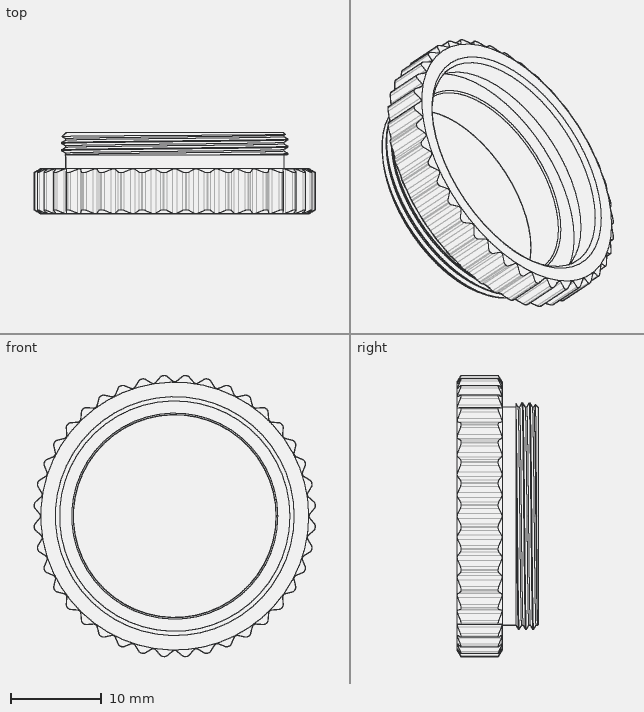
import cadquery as cq
import math

total_length = 9.0
ring_length = 5.0
neck_radius = 12.05
bore_radius = 11.17
bore_chamfer = 0.19

tooth_count = 40
tip_radius = 15.55
tip_flat_half_width = 0.06
tip_fillet_radius = 0.45
tip_fillet_angle = math.radians(42)
valley_radius = 14.82
valley_edge_radius = 14.93
valley_half_width = 0.27
ring_face_radius = 14.77
ring_chamfer_length = 0.45

pitch = 25.4 / 32
half_flank_angle = math.radians(30)
thread_tip_width = pitch / 8
foot_overlap = 0.05

external_thread_start = 6.5
external_thread_height = 0.45
external_crest_position = 6.62
end_face_radius = 11.95
end_chamfer_length = 0.5

socket_depth = 4.5
relief_start = 2.7
relief_radius = 13.43
socket_radius = 13.17
internal_thread_height = 0.42
internal_crest_position = 0.05

tooth_angle = 2 * math.pi / tooth_count


def revolved(points):
    """Revolve a (radius, height) outline about the Z axis."""
    return cq.Workplane("XZ").polyline(points).close().revolve(360, (0, 0, 0), (0, 1, 0))


def turned(distance, offset, angle):
    """Point at a distance along the direction given by angle and an offset square to it."""
    return (
        distance * math.cos(angle) - offset * math.sin(angle),
        distance * math.sin(angle) + offset * math.cos(angle),
    )


def tip_fillet_point(angle, side):
    """(distance, offset) on a tip fillet, swept by angle from the tip flat towards one side."""
    distance = tip_radius - tip_fillet_radius * (1 - math.cos(angle))
    offset = tip_flat_half_width + tip_fillet_radius * math.sin(angle)
    return (distance, side * offset)


def knurled_ring():
    """Ring of rounded teeth with both outer edges chamfered; a valley lies on the X axis."""
    fillet_middle = tip_fillet_angle / 2
    outline = cq.Workplane("XY").moveTo(*turned(valley_edge_radius, -valley_half_width, 0))
    for tooth in range(tooth_count):
        valley = tooth * tooth_angle
        tip = valley + tooth_angle / 2
        outline = (
            outline
            .threePointArc(
                turned(valley_radius, 0, valley),
                turned(valley_edge_radius, valley_half_width, valley),
            )
            .lineTo(*turned(*tip_fillet_point(tip_fillet_angle, -1), tip))
            .threePointArc(
                turned(*tip_fillet_point(fillet_middle, -1), tip),
                turned(*tip_fillet_point(0, -1), tip),
            )
            .lineTo(*turned(*tip_fillet_point(0, 1), tip))
            .threePointArc(
                turned(*tip_fillet_point(fillet_middle, 1), tip),
                turned(*tip_fillet_point(tip_fillet_angle, 1), tip),
            )
        )
        if tooth < tooth_count - 1:
            outline = outline.lineTo(*turned(valley_edge_radius, -valley_half_width, valley + tooth_angle))
    teeth = outline.close().extrude(ring_length)
    clear_radius = tip_radius + tip_fillet_radius
    chamfer_slope = ring_chamfer_length / (tip_radius - ring_face_radius)
    clear_length = chamfer_slope * (clear_radius - ring_face_radius)
    envelope = revolved([
        (0, 0),
        (ring_face_radius, 0),
        (clear_radius, clear_length),
        (clear_radius, ring_length - clear_length),
        (ring_face_radius, ring_length),
        (0, ring_length),
    ])
    return teeth.intersect(envelope)


def helical_thread(surface_radius, height, start, turns):
    """Right-hand V thread on a cylinder, its foot sunk slightly into the surface.

    A positive height stands outward from the cylinder, a negative one inward.
    """
    side = math.copysign(1, height)
    tip_half = thread_tip_width / 2
    foot_half = tip_half + (abs(height) + foot_overlap) * math.tan(half_flank_angle)
    foot_radius = surface_radius - side * foot_overlap
    crest_radius = surface_radius + height
    path = cq.Wire.makeHelix(pitch, turns * pitch, surface_radius, center=cq.Vector(0, 0, start))
    profile = cq.Workplane("XZ").polyline([
        (foot_radius, start - foot_half),
        (crest_radius, start - tip_half),
        (crest_radius, start + tip_half),
        (foot_radius, start + foot_half),
    ]).close()
    return profile.sweep(cq.Workplane(path), isFrenet=True)


def end_chamfered_cylinder(start, radius):
    """Cylinder from start to the back end, its rim cut by the cone of the end chamfer."""
    thread_radius = neck_radius + external_thread_height
    chamfer_slope = end_chamfer_length / (thread_radius - end_face_radius)
    return revolved([
        (0, start),
        (radius, start),
        (radius, total_length - chamfer_slope * (radius - end_face_radius)),
        (end_face_radius, total_length),
        (0, total_length),
    ])


def threaded_neck():
    """Neck with an external thread, cut off square at its inner end and by the end chamfer."""
    core = end_chamfered_cylinder(ring_length, neck_radius)
    envelope = end_chamfered_cylinder(
        external_thread_start, neck_radius + external_thread_height + foot_overlap
    )
    turns = math.ceil((total_length - external_thread_start) / pitch) + 1
    thread = helical_thread(neck_radius, external_thread_height, external_crest_position - pitch, turns)
    return core.union(thread.intersect(envelope))


def bore_and_socket():
    """Cutter for the through bore and the front socket with its relief."""
    return revolved([
        (0, 0),
        (socket_radius, 0),
        (socket_radius, relief_start),
        (relief_radius, relief_start),
        (relief_radius, socket_depth),
        (bore_radius + bore_chamfer, socket_depth),
        (bore_radius, socket_depth + bore_chamfer),
        (bore_radius, total_length),
        (0, total_length),
    ])


def internal_thread():
    """Thread standing inward from the socket wall, with a 45 degree lead-in at the front."""
    crest_radius = socket_radius - internal_thread_height
    outer_radius = socket_radius + foot_overlap
    inner_radius = crest_radius - foot_overlap
    envelope = revolved([
        (outer_radius, 0),
        (socket_radius, 0),
        (inner_radius, socket_radius - inner_radius),
        (inner_radius, relief_start),
        (outer_radius, relief_start),
    ])
    start = internal_crest_position - pitch
    turns = math.ceil((relief_start - start) / pitch) + 1
    return helical_thread(socket_radius, -internal_thread_height, start, turns).intersect(envelope)


body = knurled_ring().union(threaded_neck()).cut(bore_and_socket())
body = body.union(internal_thread())

result = body.rotate((0, 0, 0), (1, 0, 0), -90)